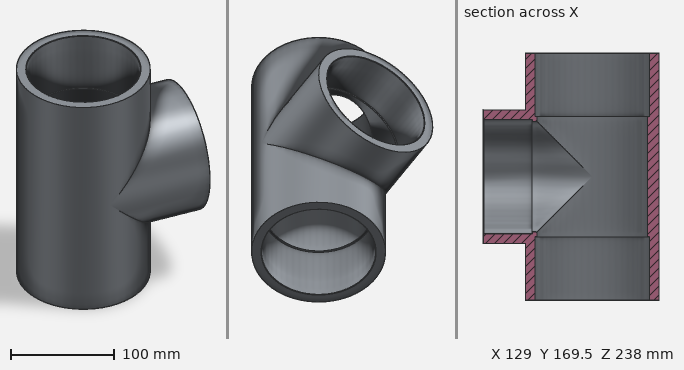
import cadquery as cq

outer_diameter = 129.0
bore_diameter = 106.0
socket_diameter = 110.0
run_length = 238.0
branch_reach = 105.0
socket_depth = 61.0
mouth_chamfer = 0.5

run_reach = run_length / 2
shoulder_distance = run_reach - socket_depth

UP = cq.Vector(0, 0, 1)
DOWN = cq.Vector(0, 0, -1)
BRANCH = cq.Vector(0, 1, 0)

ARMS = [(UP, run_reach), (DOWN, run_reach), (BRANCH, branch_reach)]


def cylinder(diameter, start, end, direction):
    """Cylinder between two distances from the tee centre along one arm."""
    return cq.Solid.makeCylinder(diameter / 2, end - start, direction * start, direction)


def mouth_chamfer_cone(reach, direction):
    """Cone that breaks the inner edge of a socket mouth at 45 degrees."""
    socket_radius = socket_diameter / 2
    return cq.Solid.makeCone(
        socket_radius,
        socket_radius + mouth_chamfer,
        mouth_chamfer,
        direction * (reach - mouth_chamfer),
        direction,
    )


def make_tee():
    run = cq.Solid.makeCylinder(outer_diameter / 2, run_length, DOWN * run_reach, UP)
    run_bore = cq.Solid.makeCylinder(bore_diameter / 2, run_length, DOWN * run_reach, UP)
    branch = cylinder(outer_diameter, 0, branch_reach, BRANCH)
    branch_bore = cylinder(bore_diameter, 0, branch_reach, BRANCH)

    tee = cq.Workplane(run).union(cq.Workplane(branch))
    tee = tee.cut(cq.Workplane(run_bore)).cut(cq.Workplane(branch_bore))

    for direction, reach in ARMS:
        socket = cylinder(socket_diameter, shoulder_distance, reach, direction)
        tee = tee.cut(cq.Workplane(socket))
        tee = tee.cut(cq.Workplane(mouth_chamfer_cone(reach, direction)))
    return tee.solids()


tee = make_tee()

result = cq.Compound.makeCompound([tee.val()])